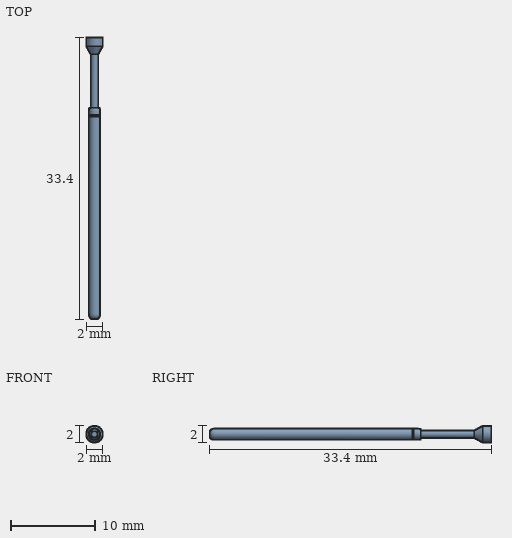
import cadquery as cq
import math

total_length = 33.4
head_radius = 1.0
plunger_radius = 0.47
barrel_diameter = 1.37
barrel_radius = barrel_diameter / 2

head_length = 1.05
cone_end = 2.0
barrel_start = 8.35
groove_start = 9.2

mouth_length = 0.37
mouth_taper = 0.05
groove_width = 0.2
groove_depth = 0.05

tip_length = 0.57
tip_flat_radius = math.sqrt(barrel_radius**2 - tip_length**2)
tip_mid_angle = math.asin(tip_length / barrel_radius) / 2

head_y = total_length / 2
tip_y = -total_length / 2
sphere_center_y = tip_y + tip_length
barrel_y = head_y - barrel_start
groove_y = head_y - groove_start
tip_mid = (
    barrel_radius * math.cos(tip_mid_angle),
    sphere_center_y - barrel_radius * math.sin(tip_mid_angle),
)


def make_plunger():
    """Cylindrical head, conical neck and thin stem reaching the barrel mouth."""
    profile = (
        cq.Workplane("XY")
        .moveTo(0, head_y)
        .lineTo(head_radius, head_y)
        .lineTo(head_radius, head_y - head_length)
        .lineTo(plunger_radius, head_y - cone_end)
        .lineTo(plunger_radius, barrel_y - mouth_length)
        .lineTo(0, barrel_y - mouth_length)
        .close()
    )
    return profile.revolve(360, (0, 0, 0), (0, 1, 0))


def make_barrel():
    """Barrel with a slightly tapered mouth and a rounded closed end."""
    profile = (
        cq.Workplane("XY")
        .moveTo(0, barrel_y)
        .lineTo(barrel_radius - mouth_taper, barrel_y)
        .lineTo(barrel_radius, barrel_y - mouth_length)
        .lineTo(barrel_radius, sphere_center_y)
        .threePointArc(tip_mid, (tip_flat_radius, tip_y))
        .lineTo(0, tip_y)
        .close()
    )
    return profile.revolve(360, (0, 0, 0), (0, 1, 0))


def make_groove_cutter():
    """Ring that removes the shallow V-groove near the barrel mouth."""
    profile = (
        cq.Workplane("XY")
        .moveTo(barrel_radius, groove_y)
        .lineTo(head_radius, groove_y)
        .lineTo(head_radius, groove_y - groove_width)
        .lineTo(barrel_radius, groove_y - groove_width)
        .lineTo(barrel_radius - groove_depth, groove_y - groove_width / 2)
        .close()
    )
    return profile.revolve(360, (0, 0, 0), (0, 1, 0))


result = make_barrel().cut(make_groove_cutter()).union(make_plunger())